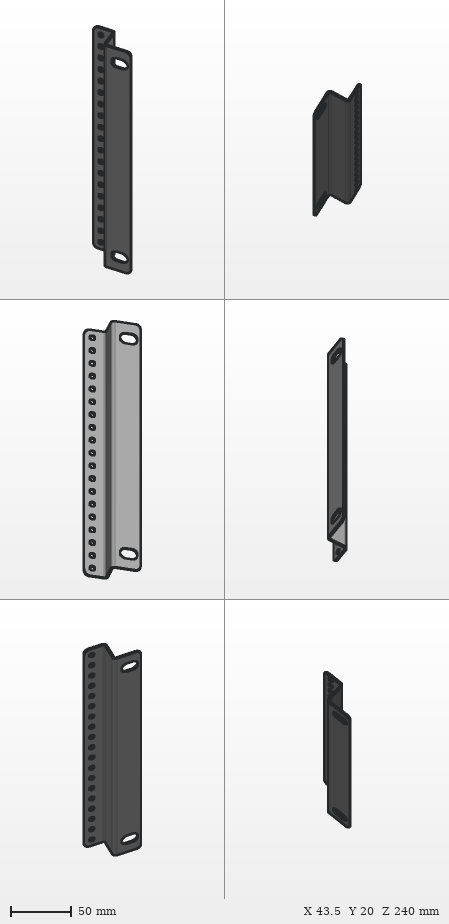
import cadquery as cq

length = 240.0
depth = 20.0
thickness = 1.5
hole_flange_width = 20.0
slot_flange_width = 25.0
inner_bend_radius = 1.5
hole_flange_corner_radius = 5.0
slot_flange_corner_radius = 4.5

hole_diameter = 4.5
hole_count = 19
hole_pitch = 12.5
hole_edge_distance = 7.0

slot_length = 15.0
slot_height = 10.0
slot_spacing = 210.0
slot_edge_distance = 10.3

outer_bend_radius = inner_bend_radius + thickness
width = hole_flange_width + slot_flange_width - thickness
web_left = hole_flange_width - thickness
web_right = hole_flange_width
mid_height = length / 2


def bent_sheet():
    """Z-shaped section extruded upward, with both bends rounded."""
    section = (
        cq.Workplane("XY")
        .moveTo(0, depth)
        .lineTo(web_right, depth)
        .lineTo(web_right, thickness)
        .lineTo(width, thickness)
        .lineTo(width, 0)
        .lineTo(web_left, 0)
        .lineTo(web_left, depth - thickness)
        .lineTo(0, depth - thickness)
        .close()
    )
    sheet = section.extrude(length)
    outer_bends = [(web_right, depth), (web_left, 0)]
    inner_bends = [(web_left, depth - thickness), (web_right, thickness)]
    sheet = round_bends(sheet, outer_bends, outer_bend_radius)
    return round_bends(sheet, inner_bends, inner_bend_radius)


def round_bends(sheet, bends, radius):
    """Fillet the vertical edges that stand at the given (x, y) places."""
    for x, y in bends:
        bend_edge = cq.selectors.NearestToPointSelector((x, y, mid_height))
        sheet = sheet.edges("|Z").edges(bend_edge).fillet(radius)
    return sheet


def round_free_corners(sheet):
    """Round the two corners at the free end of each flange."""
    sheet = sheet.faces("<X").edges("|Y").fillet(hole_flange_corner_radius)
    return sheet.faces(">X").edges("|Y").fillet(slot_flange_corner_radius)


def flange_plane():
    """Plane facing -Y, with local x along X and local y along Z from mid-height."""
    return cq.Workplane("XZ", origin=(0, 0, mid_height))


def hole_row():
    """Cutters for the column of round holes in the rear flange."""
    return (
        flange_plane()
        .center(hole_edge_distance, 0)
        .rarray(1, hole_pitch, 1, hole_count)
        .circle(hole_diameter / 2)
        .extrude(-depth)
    )


def slot_pair():
    """Cutters for the two mounting slots in the front flange."""
    return (
        flange_plane()
        .center(width - slot_edge_distance, 0)
        .rarray(1, slot_spacing, 1, 2)
        .slot2D(slot_length, slot_height)
        .extrude(-depth)
    )


result = round_free_corners(bent_sheet()).cut(hole_row()).cut(slot_pair())